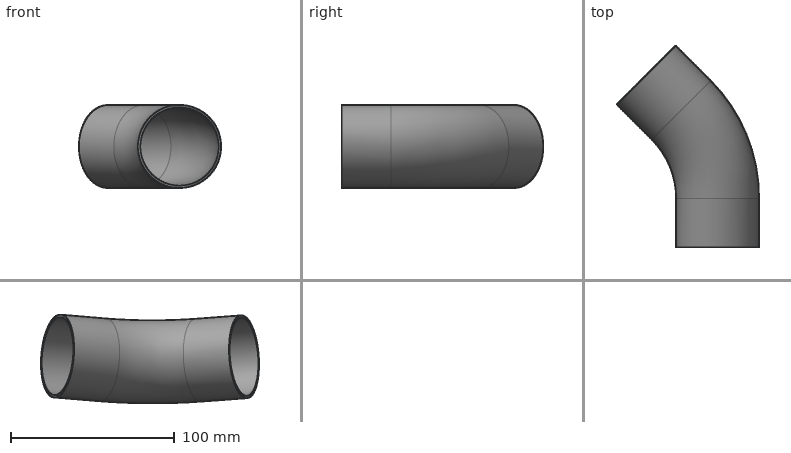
import cadquery as cq
import math

outer_diameter = 50.8
inner_diameter = 47.7
bend_angle = 45
bend_radius = 76.2
straight_length = 30.0

angle = math.radians(bend_angle)


def bend_point(turn):
    """Point on the bend centerline after turning by the given angle."""
    x = -bend_radius * (1 - math.cos(turn))
    y = straight_length + bend_radius * math.sin(turn)
    return x, y


bend_start = bend_point(0)
bend_middle = bend_point(angle / 2)
bend_end = bend_point(angle)
outlet_end = (
    bend_end[0] - straight_length * math.sin(angle),
    bend_end[1] + straight_length * math.cos(angle),
)

centerline = (
    cq.Workplane("XY")
    .moveTo(0, 0)
    .lineTo(*bend_start)
    .threePointArc(bend_middle, bend_end)
    .lineTo(*outlet_end)
)

result = (
    cq.Workplane("XZ")
    .circle(outer_diameter / 2)
    .circle(inner_diameter / 2)
    .sweep(centerline)
)